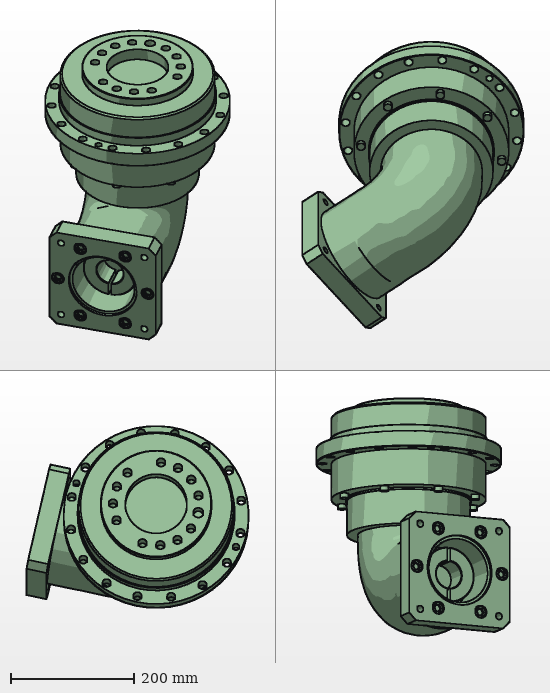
import cadquery as cq
import math


overall_height = 392.5
output_flange_height = 13.5
front_body_height = 38.0
spigot_height = 15.0
mount_flange_thickness = 25.0
rear_body_height = 58.5
neck_height = 3.0
collar_height = 56.0

output_flange_diameter = 180.0
body_diameter = 251.0
spigot_diameter = 255.0
mount_flange_diameter = 300.0
neck_diameter = 204.0
collar_diameter = 200.0
output_chamfer = 1.0
body_chamfer = 3.0
mount_flange_chamfer = 1.0

output_recess_diameter = 100.0
output_recess_depth = 20.0
output_circle_radius = 70.0
output_pitch_count = 15
output_skipped_pitches = (5, 10)
output_thread_diameter = 14.0
output_thread_depth = 25.0
output_pin_diameter = 16.5
output_pin_depth = 20.0
drill_point_angle = 118.0

mount_circle_radius = 140.0
mount_hole_count = 16
mount_hole_diameter = 13.5
jack_hole_diameter = 10.5
jack_hole_offset_angle = 10.0

rear_screw_count = 8
rear_screw_circle_radius = 115.0
rear_screw_head_diameter = 13.5
rear_screw_head_height = 7.5

pipe_radius = 82.5
bend_radius = 67.5
elbow_inner_fillet = 3.0
elbow_turn_steps = 8
elbow_end_y = -116.6

plate_size = 180.0
plate_thickness = 33.0
plate_corner_chamfer = 12.0
plate_face_y = -195.3
plate_hole_spacing = 141.0
plate_hole_diameter = 11.0

plate_screw_count = 6
plate_screw_circle_radius = 76.0
counterbore_diameter = 20.5
counterbore_depth = 8.0
screw_head_diameter = 18.0
screw_head_height = 6.0
socket_across_flats = 10.5
socket_depth = 4.0

pilot_diameter = 115.0
pilot_depth = 5.0
bore_diameter = 105.0
hub_face_depth = 41.0
hub_diameter = 90.0
hub_chamfer = 1.0
shaft_bore_diameter = 45.0
hub_height = 40.0
hub_slot_width = 5.0

output_top_z = overall_height - plate_size / 2
front_body_top_z = output_top_z - output_flange_height
spigot_top_z = front_body_top_z - front_body_height
mount_flange_top_z = spigot_top_z - spigot_height
mount_flange_bottom_z = mount_flange_top_z - mount_flange_thickness
rear_body_bottom_z = mount_flange_bottom_z - rear_body_height
neck_bottom_z = rear_body_bottom_z - neck_height
collar_bottom_z = neck_bottom_z - collar_height
plate_back_y = plate_face_y + plate_thickness


def disc(diameter, bottom_z, height):
    """Cylinder on the output axis."""
    return cq.Workplane("XY").workplane(offset=bottom_z).circle(diameter / 2).extrude(height)


def input_plane(depth=0.0):
    """Sketch plane facing -Y, `depth` behind the motor plate face; extruding negatively cuts inward."""
    return cq.Workplane("XZ", origin=(0, plate_face_y + depth, 0))


def polar_point(radius, angle_degrees):
    angle = math.radians(angle_degrees)
    return (radius * math.cos(angle), radius * math.sin(angle))


def polar_points(radius, count):
    return [polar_point(radius, 360.0 / count * i) for i in range(count)]


def make_housing():
    output_flange = disc(output_flange_diameter, front_body_top_z, output_flange_height)
    front_body = disc(body_diameter, spigot_top_z, front_body_height)
    mount_flange = disc(mount_flange_diameter, mount_flange_bottom_z, mount_flange_thickness)
    return (
        output_flange.faces(">Z").chamfer(output_chamfer)
        .union(front_body.faces(">Z").chamfer(body_chamfer))
        .union(disc(spigot_diameter, mount_flange_top_z, spigot_height))
        .union(mount_flange.faces("<Z").chamfer(mount_flange_chamfer))
        .union(disc(body_diameter, rear_body_bottom_z, rear_body_height))
        .union(disc(neck_diameter, neck_bottom_z, neck_height))
        .union(disc(collar_diameter, collar_bottom_z, collar_height))
    )


def make_rear_screw_heads():
    return (
        cq.Workplane("XY").workplane(offset=rear_body_bottom_z)
        .pushPoints(polar_points(rear_screw_circle_radius, rear_screw_count))
        .circle(rear_screw_head_diameter / 2)
        .extrude(-rear_screw_head_height)
    )


def elbow_section(turn_angle):
    """Half-span and centre distance of the elbow's section, seen from the inner fillet's centre.

    The section plane passes through that centre, and the section spans from
    the inner fillet to the elbow's outer arc.
    """
    if turn_angle in (0, 90):
        return pipe_radius, pipe_radius + elbow_inner_fillet
    along = math.cos(math.radians(turn_angle)) + math.sin(math.radians(turn_angle))
    outer_radius = bend_radius + pipe_radius
    pivot_offset = pipe_radius + elbow_inner_fillet - bend_radius
    outer_distance = pivot_offset * along + math.sqrt(
        (pivot_offset * along) ** 2 + outer_radius**2 - 2 * pivot_offset**2
    )
    span_radius = (outer_distance - elbow_inner_fillet) / 2
    return span_radius, elbow_inner_fillet + span_radius


def section_wire(centre_y, centre_z, span_radius, turn_angle):
    """Ellipse as wide along X as the pipe, its plane turned about X from horizontal to vertical."""
    turn = math.radians(turn_angle)
    plane = cq.Plane(
        origin=(0, centre_y, centre_z),
        xDir=(0, math.cos(turn), -math.sin(turn)),
        normal=(0, math.sin(turn), math.cos(turn)),
    )
    return cq.Workplane(plane).ellipse(span_radius, pipe_radius).wires().val()


def make_elbow():
    """Loft through elliptical sections turned about the inner fillet, then a straight pipe."""
    pivot = pipe_radius + elbow_inner_fillet
    wires = [section_wire(0, collar_bottom_z, pipe_radius, 0)]
    for step in range(elbow_turn_steps + 1):
        turn_angle = 90 * step / elbow_turn_steps
        span_radius, distance = elbow_section(turn_angle)
        turn = math.radians(turn_angle)
        centre_y = -pivot + distance * math.cos(turn)
        centre_z = pivot - distance * math.sin(turn)
        wires.append(section_wire(centre_y, centre_z, span_radius, turn_angle))
    wires.append(section_wire(elbow_end_y, 0, pipe_radius, 90))
    bend = cq.Workplane(obj=cq.Solid.makeLoft(wires))
    pipe = (
        cq.Workplane("XZ", origin=(0, elbow_end_y, 0))
        .circle(pipe_radius)
        .extrude(elbow_end_y - plate_back_y)
    )
    return bend.union(pipe)


def make_plate():
    return (
        input_plane()
        .rect(plate_size, plate_size)
        .extrude(-plate_thickness)
        .edges("|Y")
        .chamfer(plate_corner_chamfer)
    )


def cut_output_pattern(body):
    recess_z = output_top_z - output_recess_depth
    body = body.cut(disc(output_recess_diameter, recess_z, output_recess_depth))
    pin_hole = (
        cq.Workplane("XY", origin=(0, output_circle_radius, output_top_z))
        .circle(output_pin_diameter / 2)
        .extrude(-output_pin_depth)
    )
    body = body.cut(pin_hole)

    radius = output_thread_diameter / 2
    point_depth = radius / math.tan(math.radians(drill_point_angle / 2))
    drilled_hole = (
        cq.Workplane("XZ")
        .polyline([(0, 0), (radius, 0), (radius, -output_thread_depth),
                   (0, -output_thread_depth - point_depth)])
        .close()
        .revolve(360, (0, 0, 0), (0, 1, 0))
    )
    for pitch in range(1, output_pitch_count):
        if pitch in output_skipped_pitches:
            continue
        x, y = polar_point(output_circle_radius, 90 + 360.0 / output_pitch_count * pitch)
        body = body.cut(drilled_hole.translate((x, y, output_top_z)))
    return body


def cut_mount_holes(body):
    jack_points = [
        polar_point(mount_circle_radius, side - jack_hole_offset_angle) for side in (90, 270)
    ]
    plane = cq.Workplane("XY").workplane(offset=mount_flange_top_z)
    mount_holes = (
        plane.pushPoints(polar_points(mount_circle_radius, mount_hole_count))
        .circle(mount_hole_diameter / 2)
        .extrude(-mount_flange_thickness)
    )
    jack_holes = (
        plane.pushPoints(jack_points)
        .circle(jack_hole_diameter / 2)
        .extrude(-mount_flange_thickness)
    )
    return body.cut(mount_holes).cut(jack_holes)


def cut_plate_holes(body):
    holes = (
        input_plane()
        .rect(plate_hole_spacing, plate_hole_spacing, forConstruction=True)
        .vertices()
        .circle(plate_hole_diameter / 2)
        .extrude(-plate_thickness)
    )
    return body.cut(holes)


def add_plate_screws(body):
    """Counterbores with sunk socket-head screws."""
    points = polar_points(plate_screw_circle_radius, plate_screw_count)
    socket_across_corners = socket_across_flats / math.cos(math.radians(30))
    head_recess = counterbore_depth - screw_head_height
    counterbores = (
        input_plane().pushPoints(points).circle(counterbore_diameter / 2).extrude(-counterbore_depth)
    )
    heads = (
        input_plane(head_recess).pushPoints(points)
        .circle(screw_head_diameter / 2).extrude(-screw_head_height)
    )
    sockets = (
        input_plane(head_recess).pushPoints(points)
        .polygon(6, socket_across_corners).extrude(-socket_depth)
    )
    return body.cut(counterbores).union(heads).cut(sockets)


def cut_input_bore(body):
    """Pilot and bore, open down to the foot of the clamping hub."""
    bore_depth = hub_face_depth + hub_height
    pilot = input_plane().circle(pilot_diameter / 2).extrude(-pilot_depth)
    bore = input_plane().circle(bore_diameter / 2).extrude(-bore_depth)
    return body.cut(pilot).cut(bore)


def make_hub():
    """Split clamping hub standing on the bore floor."""
    hub = (
        input_plane(hub_face_depth)
        .circle(hub_diameter / 2)
        .circle(shaft_bore_diameter / 2)
        .extrude(-hub_height)
        .faces("<Y")
        .chamfer(hub_chamfer)
    )
    slot = input_plane(hub_face_depth).rect(hub_slot_width, hub_diameter).extrude(-hub_height)
    return hub.cut(slot)


housing = make_housing().union(make_rear_screw_heads())
housing = cut_mount_holes(cut_output_pattern(housing))
plate = add_plate_screws(cut_plate_holes(make_plate()))
input_side = cut_input_bore(make_elbow().union(plate)).union(make_hub())
result = housing.union(input_side)